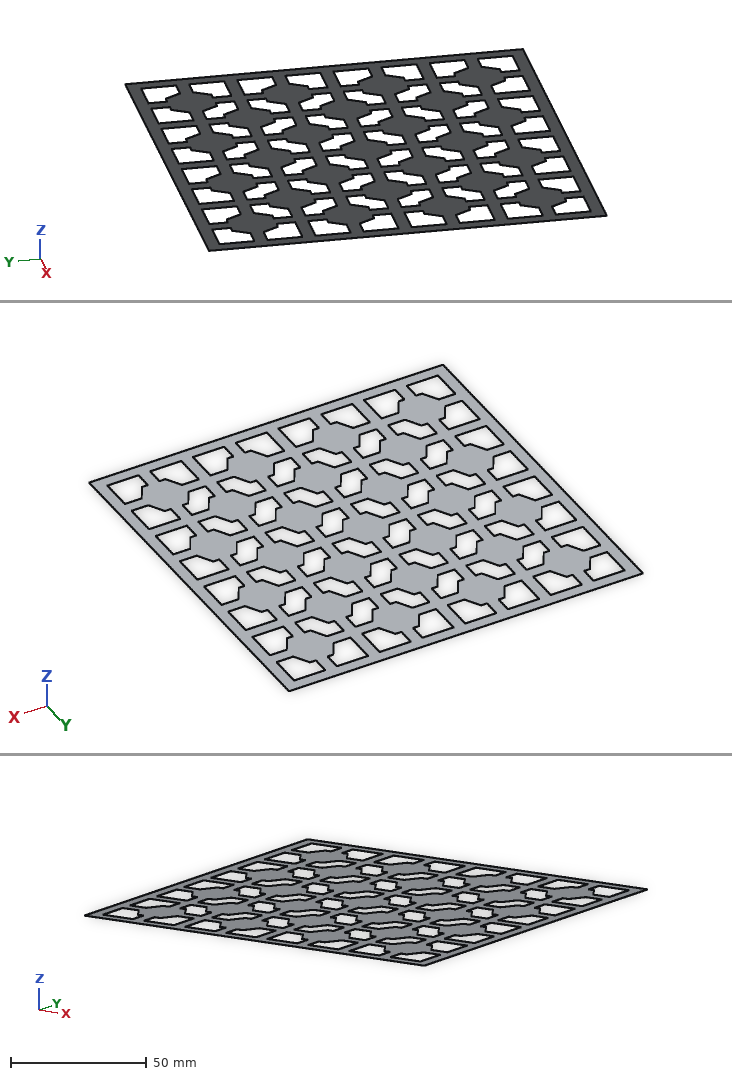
import cadquery as cq

SIDE = 150.0
THICKNESS = 0.2
BAR_WIDTH = 5.0
WINDOWS_PER_SIDE = 8

PAD_SIDES = 6
PAD_CORNER_DIAMETER = 20.0

PITCH = (SIDE - BAR_WIDTH) / WINDOWS_PER_SIDE
WINDOW_SIDE = PITCH - BAR_WIDTH


def make_grid():
    """Square sheet with evenly spaced square windows; the outer frame is one bar wide."""
    sheet = cq.Workplane("XY").box(SIDE, SIDE, THICKNESS, centered=(True, True, False))
    windows = (
        cq.Workplane("XY")
        .rarray(PITCH, PITCH, WINDOWS_PER_SIDE, WINDOWS_PER_SIDE)
        .rect(WINDOW_SIDE, WINDOW_SIDE)
        .extrude(THICKNESS)
    )
    return sheet.cut(windows)


def pad_centres():
    """Inner bar crossings whose row and column are both odd or both even."""
    inner_bars = range(1, WINDOWS_PER_SIDE)
    middle_bar = WINDOWS_PER_SIDE / 2
    return [
        ((column - middle_bar) * PITCH, (row - middle_bar) * PITCH)
        for column in inner_bars
        for row in inner_bars
        if column % 2 == row % 2
    ]


def make_pads():
    """Hexagons as thick as the sheet, with corners pointing along X."""
    return (
        cq.Workplane("XY")
        .pushPoints(pad_centres())
        .polygon(PAD_SIDES, PAD_CORNER_DIAMETER)
        .extrude(THICKNESS)
    )


result = make_grid().union(make_pads())